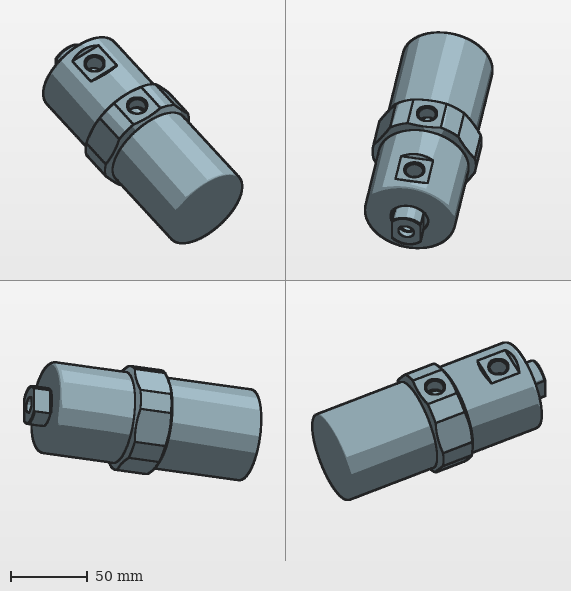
import cadquery as cq
import math

total_length = 150.7
body_start = 11.5
body_diameter = 60.0
body_fillet = 3.0
end_fillet = 1.2

collar_sides = 6
collar_start = 62.7
collar_end = 88.8
collar_across_flats = 65.0
collar_corner_diameter = 68.5
collar_bevel_angle = 60.0

rod_diameter = 25.0
rod_tip_diameter = 24.4
rod_tip_chamfer_length = 0.6
rod_across_flats = 19.0
rod_flat_end = 11.2
rod_hole_diameter = 10.2
rod_hole_depth = 4.5
rod_drill_diameter = 8.5
rod_drill_depth = 18.1

port_diameter = 11.5
port_chamfer = 0.9
front_port_x = 29.5
front_port_core_diameter = 30.0
front_port_depth = 14.5
collar_port_x = 75.7
collar_port_core_diameter = 45.0
collar_port_depth = 10.0
drill_tip_angle = 118.0

seat_length = 20.2
seat_width = 21.2

body_radius = body_diameter / 2
rod_radius = rod_diameter / 2
seat_height = math.sqrt(body_radius**2 - (seat_width / 2) ** 2)


def cylinder_x(diameter, start, end):
    """Solid cylinder on the X axis."""
    return cq.Workplane("YZ", origin=(start, 0, 0)).circle(diameter / 2).extrude(end - start)


def drill(diameter, depth):
    """Drill shape on the Z axis, reaching `depth` below Z = 0 at full diameter, then a conical tip."""
    radius = diameter / 2
    tip_length = radius / math.tan(math.radians(drill_tip_angle / 2))
    outline = [(0, 0), (radius, 0), (radius, -depth), (0, -depth - tip_length)]
    return cq.Workplane("XZ").polyline(outline).close().revolve(360, (0, 0, 0), (0, 1, 0))


def make_body():
    body = cylinder_x(body_diameter, body_start, total_length)
    body = body.faces("<X").edges().fillet(body_fillet)
    return body.faces(">X").edges().fillet(end_fillet)


def make_collar():
    """Hexagonal prism cut by a turned envelope with a steep bevel at both ends."""
    across_corners = collar_across_flats / math.cos(math.pi / collar_sides)
    hexagon = (
        cq.Workplane("YZ", origin=(collar_start, 0, 0))
        .polygon(collar_sides, across_corners)
        .extrude(collar_end - collar_start)
    )
    corner_radius = collar_corner_diameter / 2
    bevel_length = (corner_radius - body_radius) / math.tan(math.radians(collar_bevel_angle))
    envelope_outline = [
        (collar_start, 0),
        (collar_start, body_radius),
        (collar_start + bevel_length, corner_radius),
        (collar_end - bevel_length, corner_radius),
        (collar_end, body_radius),
        (collar_end, 0),
    ]
    envelope = cq.Workplane("XY").polyline(envelope_outline).close().revolve(360, (0, 0, 0), (1, 0, 0))
    return hexagon.intersect(envelope)


def make_rod():
    outline = [
        (0, 0),
        (0, rod_tip_diameter / 2),
        (rod_tip_chamfer_length, rod_radius),
        (body_start, rod_radius),
        (body_start, 0),
    ]
    return cq.Workplane("XY").polyline(outline).close().revolve(360, (0, 0, 0), (1, 0, 0))


def make_rod_flats():
    """Cutter for both flats, held to the rod diameter where it enters the body.

    The flats run out to the round rod at 45 degrees.
    """
    flat_y = rod_across_flats / 2
    cut_depth = rod_radius - flat_y
    flat_outline = [
        (0, flat_y),
        (rod_flat_end, flat_y),
        (rod_flat_end + cut_depth, rod_radius),
        (0, rod_radius),
    ]
    flat_cut = cq.Workplane("XY").polyline(flat_outline).close().extrude(rod_radius, both=True)
    both_cuts = flat_cut.union(flat_cut.mirror("XZ"))
    return both_cuts.intersect(cylinder_x(rod_diameter, 0, total_length))


def make_rod_hole():
    """Stepped hole from the tip of the rod, ending in a drill point."""
    bore = cylinder_x(rod_hole_diameter, 0, rod_hole_depth)
    pilot = drill(rod_drill_diameter, rod_drill_depth).rotate((0, 0, 0), (0, 1, 0), -90)
    return bore.union(pilot)


def make_seat():
    """Cutter for the flat seat, flaring out in X as it rises."""
    rise = body_radius - seat_height
    half_length = seat_length / 2
    outline = [
        (front_port_x - half_length, seat_height),
        (front_port_x + half_length, seat_height),
        (front_port_x + half_length + rise, body_radius),
        (front_port_x - half_length - rise, body_radius),
    ]
    return cq.Workplane("XZ").polyline(outline).close().extrude(seat_width / 2, both=True)


def make_port(x, surface_height, depth, core_diameter):
    """Chamfered port whose floor is the round core on the main axis."""
    radius = port_diameter / 2
    mouth_outline = [(0, 0), (radius + port_chamfer, 0), (radius, -port_chamfer), (0, -port_chamfer)]
    mouth = cq.Workplane("XZ").polyline(mouth_outline).close().revolve(360, (0, 0, 0), (0, 1, 0))
    port = drill(port_diameter, depth).union(mouth).translate((x, 0, surface_height))
    return port.cut(cylinder_x(core_diameter, 0, total_length))


result = make_body().union(make_collar()).union(make_rod())
result = result.cut(make_rod_flats()).cut(make_rod_hole()).cut(make_seat())
result = result.cut(make_port(front_port_x, seat_height, front_port_depth, front_port_core_diameter))
collar_top = collar_across_flats / 2
result = result.cut(make_port(collar_port_x, collar_top, collar_port_depth, collar_port_core_diameter))